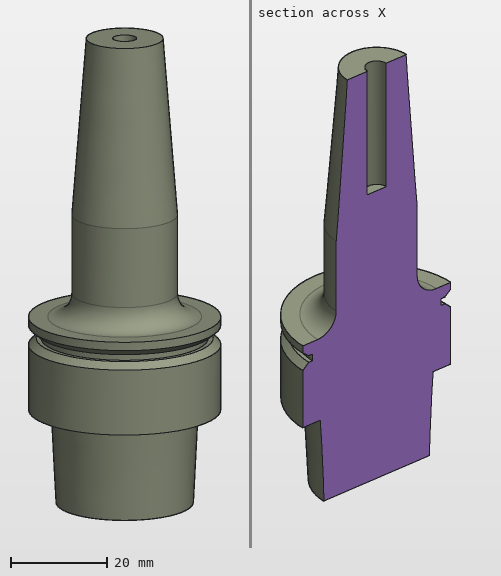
import cadquery as cq

flange_bottom = 20.0
groove_lower_edge = 34.0
groove_wall_bottom = 35.4
groove_wall_top = 36.9
groove_upper_edge = 38.2
flange_top = 40.0
nose_base = 62.0
tip_height = 100.0

shank_bottom_radius = 14.3
shank_top_radius = 15.3
flange_radius = 20.0
groove_mouth_radius = 18.4
groove_radius = 17.4
neck_radius = 11.0
tip_radius = 8.0

neck_fillet = 5.0
bore_diameter = 5.0
bore_depth = 30.0


def revolved_body():
    """Holder body turned about the Z axis, from the shank up to the tip."""
    return (
        cq.Workplane("XZ")
        .lineTo(shank_bottom_radius, 0)
        .lineTo(shank_top_radius, flange_bottom)
        .lineTo(flange_radius, flange_bottom)
        .lineTo(flange_radius, groove_lower_edge)
        .lineTo(groove_mouth_radius, groove_wall_bottom)
        .lineTo(groove_radius, groove_wall_bottom)
        .lineTo(groove_radius, groove_wall_top)
        .lineTo(groove_mouth_radius, groove_wall_top)
        .lineTo(flange_radius, groove_upper_edge)
        .lineTo(flange_radius, flange_top)
        .lineTo(neck_radius + neck_fillet, flange_top)
        .radiusArc((neck_radius, flange_top + neck_fillet), neck_fillet)
        .lineTo(neck_radius, nose_base)
        .lineTo(tip_radius, tip_height)
        .lineTo(0, tip_height)
        .close()
        .revolve(360, (0, 0, 0), (0, 1, 0))
    )


def bore_tip(body):
    """Blind tool bore down from the tip face."""
    return body.faces(">Z").workplane().hole(bore_diameter, bore_depth)


result = bore_tip(revolved_body())